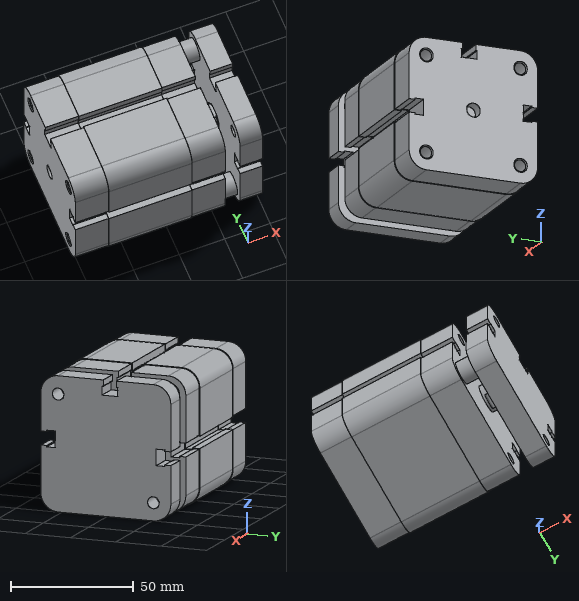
import cadquery as cq

total_length = 82.5
cap_length = 14.7
barrel_length = 36.6
plate_thickness = 10.0
housing_length = 2 * cap_length + barrel_length
plate_start = total_length - plate_thickness

barrel_side = 58.0
inset = 0.3
bolt_pitch = 42.0
barrel_corner_radius = (barrel_side - bolt_pitch) / 2

slot_offset = 1.8
slot_neck_width = 5.2
slot_inner_width = 6.35
slot_depth = 6.4
slot_lip_depth = 3.3
slot_angles = (-90, 0, 90)

bolt_hole_diameter = 5.0
bolt_hole_chamfer = 0.5
center_hole_diameter = 6.0
center_hole_depth = 5.0

rod_diameter = 12.05
rod_flat_width = 10.0
rod_flat_start = 1.15
rod_flat_fillet = 0.3
rod_end_chamfer = 0.6

guide_pin_diameter = 10.0
guide_pin_centers = [(sign * bolt_pitch / 2, sign * bolt_pitch / 2) for sign in (-1, 1)]


def section_plane(x):
    """Workplane facing +X whose local axes are the Y and Z axes."""
    return cq.Workplane("YZ", origin=(x, 0, 0))


def slot_cutter(x, length, shrink):
    """Undercut slot along X, opening upward and widened by the shrink of the body around it."""
    mouth = barrel_side / 2
    floor = mouth - slot_depth - shrink
    lip_underside = mouth - slot_lip_depth + shrink
    neck = section_plane(x).center(slot_offset, (mouth + floor) / 2).rect(
        slot_neck_width + 2 * shrink, mouth - floor
    )
    undercut = section_plane(x).center(slot_offset, (lip_underside + floor) / 2).rect(
        slot_inner_width + 2 * shrink, lip_underside - floor
    )
    return neck.extrude(length).union(undercut.extrude(length))


def slotted_block(x, length, shrink):
    """Rounded square block with three sensor slots, its outline shrunk from the barrel's."""
    side = barrel_side - 2 * shrink
    block = (
        section_plane(x)
        .rect(side, side)
        .extrude(length)
        .edges("|X")
        .fillet(barrel_corner_radius - shrink)
    )
    cutter = slot_cutter(x, length, shrink)
    for angle in slot_angles:
        block = block.cut(cutter.rotate((0, 0, 0), (1, 0, 0), angle))
    return block


def make_housing():
    """Barrel between two end caps, with four bolt holes right through and a centering hole."""
    housing = (
        slotted_block(0, cap_length, inset)
        .union(slotted_block(cap_length, barrel_length, 0))
        .union(slotted_block(cap_length + barrel_length, cap_length, inset))
    )
    bolt_holes = (
        section_plane(0)
        .rect(bolt_pitch, bolt_pitch, forConstruction=True)
        .vertices()
        .circle(bolt_hole_diameter / 2)
        .extrude(housing_length)
    )
    countersinks = (
        section_plane(0)
        .rect(bolt_pitch, bolt_pitch, forConstruction=True)
        .vertices()
        .circle(bolt_hole_diameter / 2 + bolt_hole_chamfer)
        .extrude(bolt_hole_chamfer, taper=45)
    )
    center_hole = section_plane(0).circle(center_hole_diameter / 2).extrude(center_hole_depth)
    return housing.cut(bolt_holes).cut(countersinks).cut(center_hole)


def make_piston_rod():
    """Round rod with two wrench flats, ending in a chamfer against the plate."""
    rod = (
        section_plane(housing_length)
        .circle(rod_diameter / 2)
        .extrude(plate_start - housing_length)
        .faces(">X")
        .chamfer(rod_end_chamfer)
    )
    flat_length = plate_start - housing_length - rod_flat_start
    flat_cutter = (
        section_plane(housing_length + rod_flat_start)
        .center(0, rod_flat_width / 2 + rod_diameter / 2)
        .rect(rod_diameter, rod_diameter)
        .extrude(flat_length)
        .edges("|Y and <X and <Z")
        .fillet(rod_flat_fillet)
    )
    return rod.cut(flat_cutter).cut(flat_cutter.mirror("XY"))


def make_guide_pin(center):
    """Plain pin from the front of the housing to the plate."""
    return (
        section_plane(housing_length)
        .center(*center)
        .circle(guide_pin_diameter / 2)
        .extrude(plate_start - housing_length)
    )


def make_plate():
    """Yoke plate with bolt access holes at the two corners that have no guide pin."""
    access_holes = (
        section_plane(plate_start)
        .pushPoints([(y, -z) for y, z in guide_pin_centers])
        .circle(bolt_hole_diameter / 2)
        .extrude(plate_thickness)
    )
    return slotted_block(plate_start, plate_thickness, inset).cut(access_holes)


housing = make_housing()
piston_rod = make_piston_rod()
guide_pins = [make_guide_pin(center) for center in guide_pin_centers]
plate = make_plate()

result = cq.Compound.makeCompound(
    [housing.val(), piston_rod.val(), plate.val(), *[pin.val() for pin in guide_pins]]
)